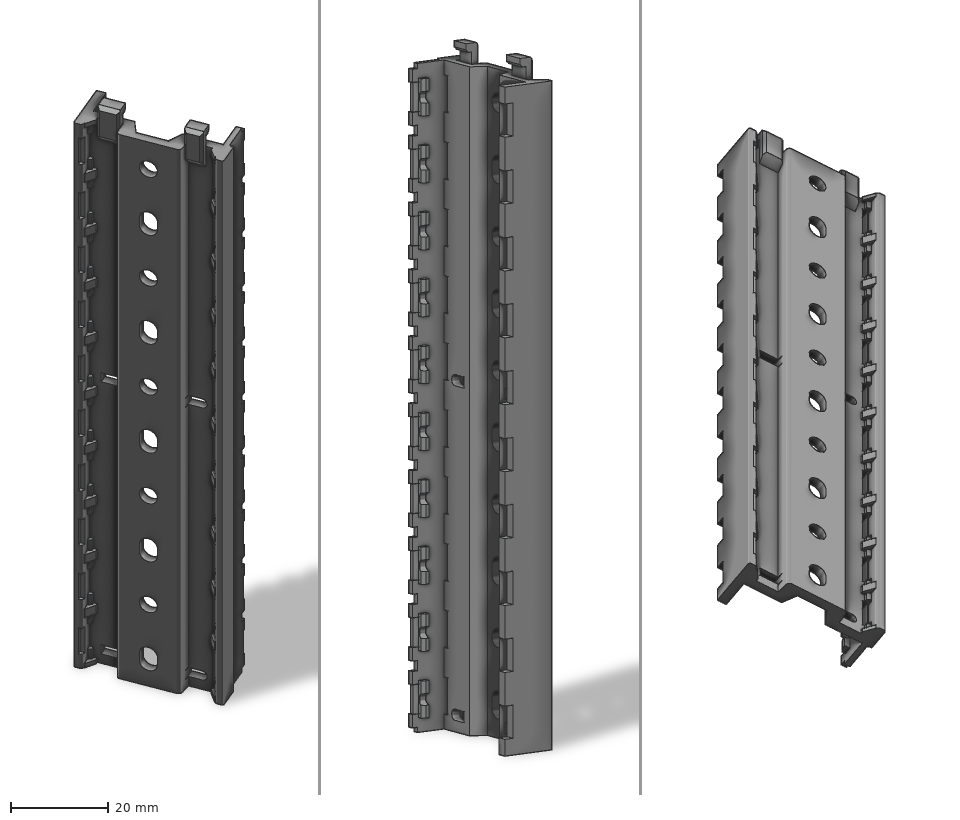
import cadquery as cq

WIDTH = 33.5
HEIGHT = 13.3
TOTAL_LENGTH = 144.6
RAIL_LENGTH = 140.1
PITCH_COUNT = 10
PITCH = RAIL_LENGTH / PITCH_COUNT
HALF_WIDTH = WIDTH / 2

FLANGE_BOTTOM = 3.3
FLANGE_TOP = 5.4
TROUGH_FLOOR = 2.0
TROUGH_FLOOR_HALF = 3.6
TROUGH_MOUTH_HALF = 5.4
TROUGH_OUTER_HALF = 7.2
TROUGH_ROOT_HALF = 7.5
TROUGH_RADIUS = 0.9
FOOT_INNER = 14.6
FOOT_INNER_RADIUS = 0.9
FOOT_OUTER_RADIUS = 0.5

GUSSET_LENGTH = 7.4
GUSSET_REACH = 0.9
GUSSET_DROP = 1.2
GUSSET_TIP = 0.7
RIB_LENGTH = 2.2
RIB_REACH = 1.7
RIB_DROP = 2.9
RIB_TIP = 0.6

LEFT_WALL_THICKNESS = 2.2
LEFT_WALL_TOP = 12.0
NOTCH_FLOOR = 10.0
NOTCH_LENGTH = 7.0
FOOT_REBATE_LENGTH = PITCH - GUSSET_LENGTH
FOOT_REBATE_WIDTH = 1.08
FOOT_REBATE_DEPTH = 0.9
RIGHT_WALL_INNER = 14.5
RIGHT_WALL_THICKNESS = 1.3
RIGHT_WALL_ROOT = 0.5
WALL_GAP_FLOOR = LEFT_WALL_TOP
LOW_CREST_LENGTH = 6.2
LOW_CREST_TOP = 12.9
LOW_CREST_BEVEL_WIDTH = 0.5
LOW_CREST_BEVEL_HEIGHT = 1.5

CATCH_LENGTH = 7.8
CATCH_REACH = 1.3
CATCH_BOTTOM = NOTCH_FLOOR
CATCH_TOP = 11.7
CATCH_BEVEL_WIDTH = 0.5
CATCH_BEVEL_HEIGHT = 0.9
CATCH_RELIEF_RADIUS = 1.23

HOLE_DIAMETER = 4.0
OBLONG_LENGTH = 6.0
LATCH_SLOT_HEIGHT = 2.3
LATCH_SLOT_BOTTOM = 2.5
LATCH_SLOT_PITCHES = 5
LATCH_SLOT_INNER = 7.4
LATCH_SLOT_LENGTH_LEFT = 4.6
LATCH_SLOT_LENGTH_RIGHT = 4.3

LATCH_WIDTH_LEFT = 4.9
LATCH_WIDTH_RIGHT = 4.2
LATCH_FRONT = 1.5
LATCH_BACK = 3.5
LATCH_NOSE = 4.9
LATCH_NOSE_HEIGHT = 1.9
LATCH_NOSE_BEVEL = 0.6
LATCH_ROOT = 3.0
LATCH_RAMP = 2.3
LATCH_TOP_BEVEL = 0.9
LATCH_SIDE_BEVEL = 0.6

GUSSET_CENTERS = [i * PITCH for i in range(PITCH_COUNT + 1)]
CATCH_CENTERS = [(i + 0.5) * PITCH for i in range(PITCH_COUNT)]


def block(x0, x1, y0, y1, z0, z1):
    """Box between two opposite corners."""
    return cq.Workplane("XY").box(x1 - x0, y1 - y0, z1 - z0, centered=False).translate((x0, y0, z0))


def prism(points, center, length):
    """Extrude an XY outline along Z, centred on a height and kept within the rail's length."""
    bottom = max(center - length / 2, 0)
    top = min(center + length / 2, RAIL_LENGTH)
    return cq.Workplane("XY").workplane(offset=bottom).polyline(points).close().extrude(top - bottom)


def span_block(x0, x1, y0, y1, center, length):
    """Box whose Z extent is given by its middle and its length."""
    return block(x0, x1, y0, y1, center - length / 2, center + length / 2)


def both_sides(half):
    return half.union(half.mirror("YZ"))


def rail_section():
    half = (
        cq.Workplane("XY")
        .lineTo(TROUGH_OUTER_HALF - TROUGH_RADIUS, 0)
        .radiusArc((TROUGH_OUTER_HALF, TROUGH_RADIUS), -TROUGH_RADIUS)
        .lineTo(TROUGH_ROOT_HALF, FLANGE_BOTTOM)
        .lineTo(FOOT_INNER, FLANGE_BOTTOM)
        .lineTo(FOOT_INNER, FOOT_INNER_RADIUS)
        .radiusArc((FOOT_INNER + FOOT_INNER_RADIUS, 0), -FOOT_INNER_RADIUS)
        .lineTo(HALF_WIDTH - FOOT_OUTER_RADIUS, 0)
        .radiusArc((HALF_WIDTH, FOOT_OUTER_RADIUS), -FOOT_OUTER_RADIUS)
        .lineTo(HALF_WIDTH, FLANGE_TOP)
        .lineTo(TROUGH_MOUTH_HALF, FLANGE_TOP)
        .lineTo(TROUGH_FLOOR_HALF, TROUGH_FLOOR)
        .lineTo(0, TROUGH_FLOOR)
        .close()
        .extrude(RAIL_LENGTH)
    )
    return both_sides(half)


def gusset(center, reach, drop, tip, length):
    """Sloped filler in the corner between the foot and the flange, ending in a blunt tip."""
    outline = [
        (FOOT_INNER, FLANGE_BOTTOM),
        (FOOT_INNER - reach, FLANGE_BOTTOM),
        (FOOT_INNER - reach, FLANGE_BOTTOM - tip),
        (FOOT_INNER, FLANGE_BOTTOM - drop),
    ]
    return prism(outline, center, length)


def gussets():
    half = cq.Workplane("XY")
    for z in GUSSET_CENTERS:
        half = half.add(gusset(z, GUSSET_REACH, GUSSET_DROP, GUSSET_TIP, GUSSET_LENGTH))
        half = half.add(gusset(z, RIB_REACH, RIB_DROP, RIB_TIP, RIB_LENGTH))
    return both_sides(half.combine())


def left_wall():
    inner = -HALF_WIDTH + LEFT_WALL_THICKNESS
    wall = block(-HALF_WIDTH, inner, FLANGE_TOP, LEFT_WALL_TOP, 0, RAIL_LENGTH)
    for z in CATCH_CENTERS:
        wall = wall.cut(span_block(-HALF_WIDTH, inner, NOTCH_FLOOR, HEIGHT, z, NOTCH_LENGTH))
    return wall


def left_foot_rebates():
    """Steps along the inner edge of the left foot, between the gussets."""
    cutters = cq.Workplane("XY")
    outer = -FOOT_INNER - FOOT_REBATE_WIDTH
    for z in CATCH_CENTERS:
        cutters = cutters.add(
            span_block(outer, -FOOT_INNER, 0, FOOT_REBATE_DEPTH, z, FOOT_REBATE_LENGTH)
        )
    return cutters.combine()


def catch(center):
    """Inward nose with a bevelled top and a half-round relief in its middle."""
    tip = RIGHT_WALL_INNER - CATCH_REACH
    outline = [
        (RIGHT_WALL_INNER, CATCH_BOTTOM),
        (tip, CATCH_BOTTOM),
        (tip, CATCH_TOP - CATCH_BEVEL_HEIGHT),
        (tip + CATCH_BEVEL_WIDTH, CATCH_TOP),
        (RIGHT_WALL_INNER, CATCH_TOP),
    ]
    relief = (
        cq.Workplane("XZ", origin=(tip, 0, center))
        .circle(CATCH_RELIEF_RADIUS)
        .extrude(-HEIGHT)
    )
    return prism(outline, center, CATCH_LENGTH).cut(relief)


def right_wall():
    inner = RIGHT_WALL_INNER
    outer = inner + RIGHT_WALL_THICKNESS
    outline = [
        (inner, FLANGE_TOP),
        (inner, HEIGHT),
        (outer, HEIGHT),
        (outer, FLANGE_TOP + RIGHT_WALL_ROOT),
        (outer + RIGHT_WALL_ROOT, FLANGE_TOP),
    ]
    wall = prism(outline, RAIL_LENGTH / 2, RAIL_LENGTH)
    for z in GUSSET_CENTERS:
        wall = wall.cut(span_block(inner, outer, WALL_GAP_FLOOR, HEIGHT, z, RIB_LENGTH))
    low_crest = [
        (inner, LOW_CREST_TOP - LOW_CREST_BEVEL_HEIGHT),
        (inner + LOW_CREST_BEVEL_WIDTH, LOW_CREST_TOP),
        (outer, LOW_CREST_TOP),
        (outer, HEIGHT),
        (inner, HEIGHT),
    ]
    for z in CATCH_CENTERS:
        wall = wall.cut(prism(low_crest, z, LOW_CREST_LENGTH))
        wall = wall.union(catch(z))
    return wall


def catch_slots():
    """Slots through the right flange below the catches."""
    cutters = cq.Workplane("XY")
    for z in CATCH_CENTERS:
        cutters = cutters.add(
            span_block(RIGHT_WALL_INNER - CATCH_REACH, RIGHT_WALL_INNER, 0, FLANGE_TOP, z, CATCH_LENGTH)
        )
    return cutters.combine()


def mounting_holes():
    """Oblong and round holes alternating up the trough floor, oblong first."""
    plane = cq.Workplane("XZ")
    oblongs = (
        plane.pushPoints([(0, z) for z in CATCH_CENTERS[0::2]])
        .slot2D(OBLONG_LENGTH, HOLE_DIAMETER, 90)
        .extrude(-TROUGH_FLOOR)
    )
    rounds = (
        plane.pushPoints([(0, z) for z in CATCH_CENTERS[1::2]])
        .circle(HOLE_DIAMETER / 2)
        .extrude(-TROUGH_FLOOR)
    )
    return oblongs.union(rounds)


def latch_slots():
    """Two pairs of cross slots through the flanges; the right ones have a round outer end."""
    end_radius = LATCH_SLOT_HEIGHT / 2
    left_end = -LATCH_SLOT_INNER - LATCH_SLOT_LENGTH_LEFT
    right_arc_center = LATCH_SLOT_INNER + LATCH_SLOT_LENGTH_RIGHT - end_radius
    cutters = cq.Workplane("XY")
    for pitches in (0, LATCH_SLOT_PITCHES):
        bottom = LATCH_SLOT_BOTTOM + pitches * PITCH
        top = bottom + LATCH_SLOT_HEIGHT
        left = block(left_end, -LATCH_SLOT_INNER, 0, FLANGE_TOP, bottom, top)
        right = block(LATCH_SLOT_INNER, right_arc_center, 0, FLANGE_TOP, bottom, top)
        round_end = (
            cq.Workplane("XZ", origin=(right_arc_center, 0, bottom + end_radius))
            .circle(end_radius)
            .extrude(-FLANGE_TOP)
        )
        cutters = cutters.add(left).add(right.union(round_end))
    return cutters.combine()


def latch(x0, width):
    """Hooked tongue on the flange underside, with its nose toward +Y."""
    ramp_top = RAIL_LENGTH - LATCH_ROOT
    nose_bottom = TOTAL_LENGTH - LATCH_NOSE_HEIGHT
    tongue = (
        cq.Workplane("YZ", origin=(x0, 0, 0))
        .polyline([
            (LATCH_BACK, ramp_top - LATCH_RAMP),
            (LATCH_FRONT, ramp_top),
            (LATCH_FRONT, TOTAL_LENGTH - LATCH_TOP_BEVEL),
            (LATCH_FRONT + LATCH_TOP_BEVEL, TOTAL_LENGTH),
            (LATCH_NOSE, TOTAL_LENGTH),
            (LATCH_NOSE, nose_bottom + LATCH_NOSE_BEVEL),
            (LATCH_NOSE - LATCH_NOSE_BEVEL, nose_bottom),
            (LATCH_BACK, nose_bottom),
        ])
        .close()
        .extrude(width)
    )
    return tongue.faces("<Y").edges("|Z").chamfer(LATCH_SIDE_BEVEL)


def latches():
    left = latch(-TROUGH_OUTER_HALF - LATCH_WIDTH_LEFT, LATCH_WIDTH_LEFT)
    right = latch(TROUGH_OUTER_HALF, LATCH_WIDTH_RIGHT)
    return left.union(right)


result = (
    rail_section()
    .cut(left_foot_rebates())
    .union(left_wall())
    .union(right_wall())
    .cut(catch_slots())
    .union(gussets().cut(catch_slots()))
    .cut(mounting_holes())
    .cut(latch_slots())
    .union(latches())
)